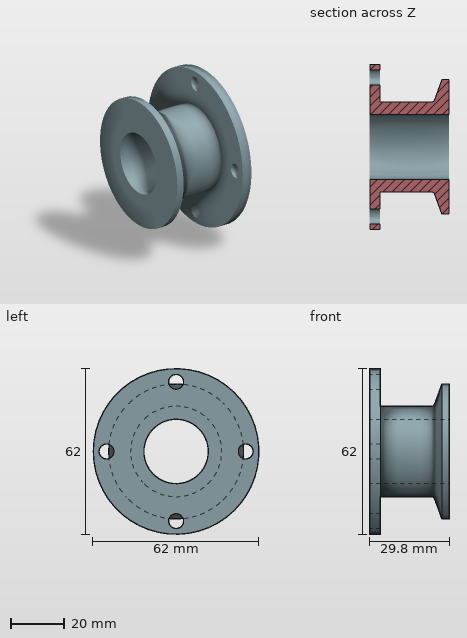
import cadquery as cq
import math

length = 29.8
flange_diameter = 62.0
flange_thickness = 3.95
hub_diameter = 34.0
bore_diameter = 24.0

rim_diameter = 50.5
rim_thickness = 2.85
cone_angle = 20.0
neck_fillet_radius = 1.0

bolt_circle_diameter = 52.0
bolt_hole_diameter = 5.5
bolt_hole_count = 4

flange_radius = flange_diameter / 2
hub_radius = hub_diameter / 2
rim_radius = rim_diameter / 2
bore_radius = bore_diameter / 2

rim_start = length - rim_thickness
cone_length = (rim_radius - hub_radius) * math.tan(math.radians(cone_angle))
neck_x = rim_start - cone_length

turn = math.radians(90 - cone_angle)
tangent_length = neck_fillet_radius * math.tan(turn / 2)
fillet_start_x = neck_x - tangent_length
fillet_center_radius = hub_radius + neck_fillet_radius


def fillet_point(angle):
    """Point on the neck fillet, turned by angle from its contact with the hub."""
    return (
        fillet_start_x + neck_fillet_radius * math.sin(angle),
        fillet_center_radius - neck_fillet_radius * math.cos(angle),
    )


def make_spool():
    """Revolve the half section, bore included, about the X axis."""
    return (
        cq.Workplane("XY")
        .moveTo(0, bore_radius)
        .lineTo(0, flange_radius)
        .lineTo(flange_thickness, flange_radius)
        .lineTo(flange_thickness, hub_radius)
        .lineTo(fillet_start_x, hub_radius)
        .threePointArc(fillet_point(turn / 2), fillet_point(turn))
        .lineTo(rim_start, rim_radius)
        .lineTo(length, rim_radius)
        .lineTo(length, bore_radius)
        .close()
        .revolve(360, (0, 0, 0), (1, 0, 0))
    )


def make_bolt_holes():
    """Cylinders through the flange, evenly spaced on the bolt circle."""
    return (
        cq.Workplane("YZ")
        .polarArray(bolt_circle_diameter / 2, 0, 360, bolt_hole_count)
        .circle(bolt_hole_diameter / 2)
        .extrude(flange_thickness)
    )


result = make_spool().cut(make_bolt_holes())